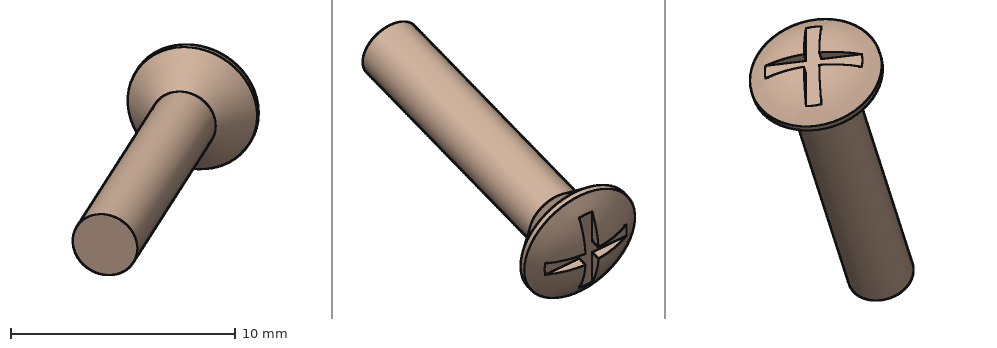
import cadquery as cq
import math

screw_length = 15.95
head_diameter = 6.0
shank_diameter = head_diameter / 2
rim_thickness = 0.3
dome_height = 0.97
slot_width = 0.7
slot_depth = 0.5

head_radius = head_diameter / 2
shank_radius = shank_diameter / 2
cone_height = head_radius - shank_radius

rim_top = screw_length - dome_height
rim_bottom = rim_top - rim_thickness
shank_end = rim_bottom - cone_height

corner_radius = math.hypot(slot_width / 2, slot_width / 2)
center_below_rim = (head_radius**2 - corner_radius**2 - dome_height**2) / (2 * dome_height)
dome_radius = math.hypot(head_radius, center_below_rim)
dome_center = rim_top - center_below_rim
apex = dome_center + dome_radius
dome_mid_radius = head_radius / 2
dome_mid = dome_center + math.sqrt(dome_radius**2 - dome_mid_radius**2)


def make_screw_blank():
    """Revolve the shank, countersunk cone, rim and dome about the Y axis."""
    return (
        cq.Workplane("XY")
        .moveTo(0, 0)
        .lineTo(shank_radius, 0)
        .lineTo(shank_radius, shank_end)
        .lineTo(head_radius, rim_bottom)
        .lineTo(head_radius, rim_top)
        .threePointArc((dome_mid_radius, dome_mid), (0, apex))
        .close()
        .revolve(360, (0, 0, 0), (0, 1, 0))
    )


def make_slot(turn):
    """Make a straight slot across the whole head, turned about the Y axis by the given angle."""
    slot_floor = screw_length - slot_depth
    return (
        cq.Workplane("XY")
        .box(head_diameter, apex - slot_floor, slot_width)
        .translate((0, (apex + slot_floor) / 2, 0))
        .rotate((0, 0, 0), (0, 1, 0), turn)
    )


result = make_screw_blank()
for slot_turn in (0, 90):
    result = result.cut(make_slot(slot_turn))